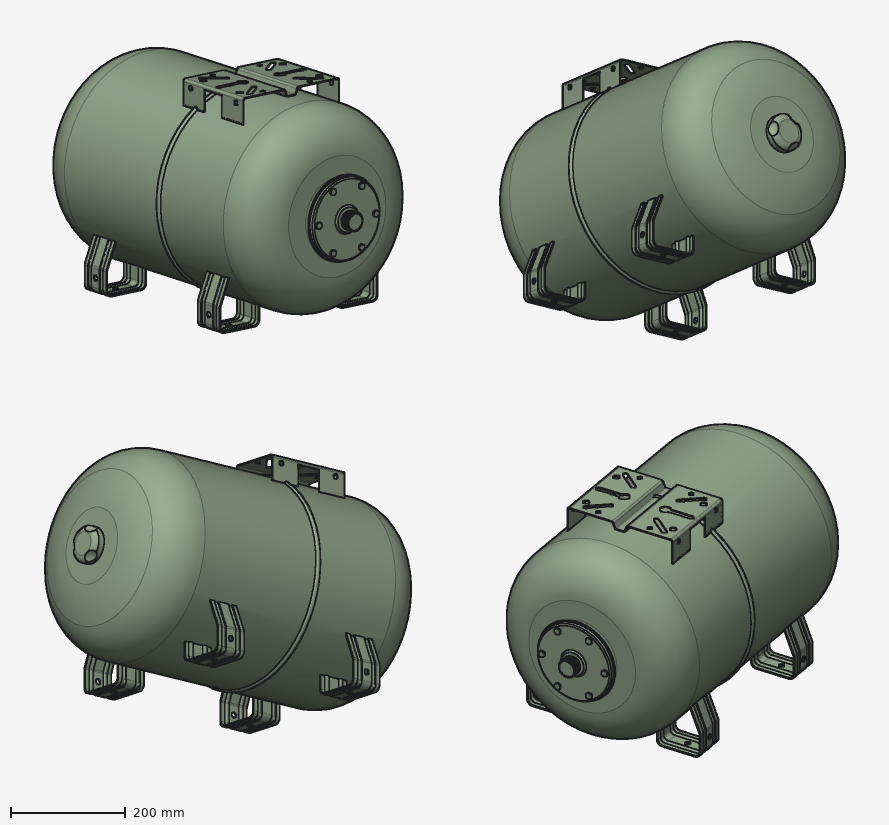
import cadquery as cq
import math


overall_length = 688.0
overall_height = 410.0
top_z = overall_height / 2
base_z = -overall_height / 2

tank_radius = 380.0 / 2
left_seam_x = 117.0
right_seam_x = 556.0
left_apex_x = 20.5
left_flat_radius = 68.5
left_knuckle_end_x = 38.5
left_knuckle_end_radius = 140.0
right_knuckle_radius = 81.0
right_end_x = right_seam_x + right_knuckle_radius

bead_x = 378.0
bead_diameter = 12.0
bead_outer_radius = 386.83 / 2

cap_face_radius = 21.0
cap_radius = 33.5
cap_round_length = 8.5
grip_count = 3
grip_sphere_radius = 24.0
grip_centre_x = -5.6
grip_centre_radius = 45.8

neck_base_radius = 71.0
neck_radius = 107.76 / 2
flange_back_x = 653.0
rim_radius = 78.0
rim_thickness = 2.0
flange_radius = 75.5
flange_face_radius = 145.24 / 2
flange_thickness = 11.5
flange_face_x = flange_back_x + flange_thickness
flange_chamfer_length = 2.5
hub_length = 3.0
hub_base_radius = 26.0
hub_tip_radius = 22.5

bolt_count = 6
bolt_circle_radius = 64.0
bolt_diameter = 6.0
bolt_head_diameter = 12.0
bolt_head_height = 3.0
bolt_tip_length = 4.0

thread_diameter = 34.5
thread_root_diameter = 30.25
thread_pitch = 2.3

bracket_centre_x = 427.5
bracket_length = 166.0
bracket_width = 216.0
bracket_sheet = 2.0
bracket_bend_radius = 5.0
channel_floor_bend_radius = 3.0
bracket_foot_z = 156.0
channel_floor_half_width = 9.5
channel_mouth_half_width = 14.5
flange_gap_length = 49.0
flange_gap_top_z = 197.0
side_hole_diameter = 9.0
side_hole_spacing = 125.0
side_hole_z = 192.0

large_hole_diameter = 12.0
large_hole_x = 50.5
large_hole_y = 89.0
small_hole_diameter = 9.0
small_hole_x = 69.0
small_hole_y = 52.5
keyhole_slot_width = 10.0
keyhole_slot_end_y = 94.5
keyhole_head_diameter = 20.0
keyhole_head_y = 42.0
slant_slot_width = 9.0
slant_slot_x = 52.0
slant_slot_y = 63.5
slant_slot_run_x = 28.0
slant_slot_run_y = 34.0

foot_centres_x = (188.0, 501.0)
foot_width = 60.0
foot_sheet = 2.5
foot_outer_y = 177.5
foot_inner_y = 87.5
foot_kink_z = -156.5
foot_kink_radius = 10.0
foot_bend_radius = 12.0
foot_top_y = 150.5
foot_top_z = -90.0
foot_inner_top_z = -150.0
foot_centre_flat = 22.0
foot_groove_width = 10.0
foot_groove_depth = 2.0
foot_hole_diameter = 10.0
foot_side_hole_z = -176.0
foot_base_hole_y = (foot_outer_y + foot_inner_y) / 2


def revolve_about_axis(profile):
    """Revolve an (x, radius) profile about the X axis."""
    return profile.close().revolve(360, (0, 0, 0), (1, 0, 0))


def x_cylinder(start_x, length, diameter, y=0.0, z=0.0):
    """Cylinder along +X."""
    return cq.Workplane("YZ", origin=(start_x, y, z)).circle(diameter / 2).extrude(length)


def bent_path(points, bend_radii):
    """Path of straight runs through (y, z) points, with one rounding radius per inner point."""
    path = cq.Workplane("YZ").moveTo(*points[0])
    for before, corner, after, radius in zip(points, points[1:], points[2:], bend_radii):
        bend = cq.Vector(*corner)
        to_before = (cq.Vector(*before) - bend).normalized()
        to_after = (cq.Vector(*after) - bend).normalized()
        half_angle = to_before.getAngle(to_after) / 2
        setback = radius / math.tan(half_angle)
        bend_start = bend + to_before * setback
        bend_end = bend + to_after * setback
        path = path.lineTo(bend_start.x, bend_start.y)
        path = path.tangentArcPoint((bend_end.x, bend_end.y), relative=False)
    return path.lineTo(*points[-1])


def make_tank():
    """Shell with a flat right end, its flared neck and a dished left end."""
    shell = (
        cq.Workplane("XY")
        .moveTo(flange_face_x, 0)
        .lineTo(flange_face_x, neck_radius)
        .lineTo(flange_back_x, neck_radius)
        .tangentArcPoint((right_end_x, neck_base_radius), relative=False)
        .lineTo(right_end_x, tank_radius - right_knuckle_radius)
        .tangentArcPoint((right_seam_x, tank_radius), relative=False)
        .lineTo(left_seam_x, tank_radius)
        .tangentArcPoint((left_knuckle_end_x, left_knuckle_end_radius), relative=False)
        .tangentArcPoint((left_apex_x, left_flat_radius), relative=False)
        .lineTo(left_apex_x, 0)
    )
    return revolve_about_axis(shell)


def make_bead():
    """Half-buried ring bead around the shell."""
    ring_radius = bead_outer_radius - bead_diameter / 2
    section = cq.Workplane("XY").center(bead_x, ring_radius).circle(bead_diameter / 2)
    return section.revolve(360, (0, -ring_radius, 0), (1, -ring_radius, 0))


def make_cap():
    """Rounded cap with scooped grips, one of them facing +Y."""
    cap = revolve_about_axis(
        cq.Workplane("XY")
        .moveTo(0, 0)
        .lineTo(0, cap_face_radius)
        .tangentArcPoint((cap_round_length, cap_radius), relative=False)
        .lineTo(left_knuckle_end_x, cap_radius)
        .lineTo(left_knuckle_end_x, 0)
    )
    for index in range(grip_count):
        angle = 2 * math.pi * index / grip_count
        centre = (
            grip_centre_x,
            grip_centre_radius * math.cos(angle),
            grip_centre_radius * math.sin(angle),
        )
        cap = cap.cut(cq.Workplane("XY").sphere(grip_sphere_radius).translate(centre))
    return cap


def make_flange():
    """Flange disc with a thin rear rim, a chamfered front and a tapered hub."""
    return revolve_about_axis(
        cq.Workplane("XY")
        .moveTo(flange_back_x, 0)
        .lineTo(flange_back_x, rim_radius)
        .lineTo(flange_back_x + rim_thickness, rim_radius)
        .lineTo(flange_back_x + rim_thickness, flange_radius)
        .lineTo(flange_face_x - flange_chamfer_length, flange_radius)
        .lineTo(flange_face_x, flange_face_radius)
        .lineTo(flange_face_x, hub_base_radius)
        .lineTo(flange_face_x + hub_length, hub_tip_radius)
        .lineTo(flange_face_x + hub_length, 0)
    )


def make_bolts():
    """Ring of flange bolts: heads in front, thread tips behind."""
    tip_x = flange_back_x - bolt_tip_length
    bolts = cq.Workplane("XY")
    for index in range(bolt_count):
        angle = 2 * math.pi * index / bolt_count
        y = bolt_circle_radius * math.cos(angle)
        z = bolt_circle_radius * math.sin(angle)
        shank = x_cylinder(tip_x, flange_face_x - tip_x, bolt_diameter, y, z)
        head = x_cylinder(flange_face_x, bolt_head_height, bolt_head_diameter, y, z)
        bolts = bolts.add(shank.union(head))
    return bolts.combine()


def make_threaded_stub():
    """Threaded stub as a row of V-shaped rings ending at the right extreme of the part."""
    start_x = flange_face_x + hub_length
    ring_count = int((overall_length - start_x) / thread_pitch)
    crest = thread_diameter / 2
    root = thread_root_diameter / 2
    outline = cq.Workplane("XY").moveTo(start_x, 0).lineTo(start_x, root)
    first_ring_x = overall_length - ring_count * thread_pitch
    outline = outline.lineTo(first_ring_x, root)
    for index in range(ring_count):
        ring_x = first_ring_x + index * thread_pitch
        outline = outline.lineTo(ring_x + thread_pitch / 2, crest)
        outline = outline.lineTo(ring_x + thread_pitch, root)
    return revolve_about_axis(outline.lineTo(overall_length, 0))


def make_bracket():
    """Folded top bracket with a centre channel resting on the tank, swept along its sheet mid-line."""
    half_sheet = bracket_sheet / 2
    side_y = bracket_width / 2 - half_sheet
    deck_z = top_z - half_sheet
    floor_z = tank_radius + half_sheet
    half_path = [
        (side_y, bracket_foot_z),
        (side_y, deck_z),
        (channel_mouth_half_width, deck_z),
        (channel_floor_half_width, floor_z),
    ]
    mirrored_half = [(-y, z) for y, z in reversed(half_path)]
    deck_bend = bracket_bend_radius - half_sheet
    floor_bend = channel_floor_bend_radius - half_sheet
    bend_radii = [deck_bend, deck_bend, floor_bend, floor_bend, deck_bend, deck_bend]
    path = bent_path(half_path + mirrored_half, bend_radii)
    return (
        cq.Workplane("XY", origin=(bracket_centre_x, side_y, bracket_foot_z))
        .rect(bracket_length, bracket_sheet)
        .sweep(path)
    )


def cut_bracket_openings(bracket):
    """Gaps and screw holes in the side flanges, mounting holes and slots in the deck."""
    gap_height = flange_gap_top_z - bracket_foot_z
    side_strip = 2 * bracket_bend_radius
    for side in (-1, 1):
        side_y = side * bracket_width / 2
        gap = cq.Workplane("XY").box(flange_gap_length, side_strip, gap_height)
        bracket = bracket.cut(gap.translate((bracket_centre_x, side_y, bracket_foot_z + gap_height / 2)))
        side_holes = (
            cq.Workplane("XZ", origin=(bracket_centre_x, side_y, side_hole_z))
            .rarray(side_hole_spacing, 1, 2, 1)
            .circle(side_hole_diameter / 2)
            .extrude(side_strip, both=True)
        )
        bracket = bracket.cut(side_holes)

    deck = cq.Workplane("XY", origin=(bracket_centre_x, 0, top_z - 2 * bracket_sheet))
    cut_depth = 3 * bracket_sheet
    slant_length = math.hypot(slant_slot_run_x, slant_slot_run_y) + slant_slot_width
    slant_angle = math.degrees(math.atan2(slant_slot_run_y, slant_slot_run_x))
    keyhole_slot_length = keyhole_slot_end_y - keyhole_head_y
    for y_side in (-1, 1):
        keyhole_slot = (
            deck.center(0, y_side * (keyhole_head_y + keyhole_slot_end_y) / 2)
            .slot2D(keyhole_slot_length + keyhole_slot_width, keyhole_slot_width, 90)
            .extrude(cut_depth)
        )
        keyhole_head = (
            deck.center(0, y_side * keyhole_head_y).circle(keyhole_head_diameter / 2).extrude(cut_depth)
        )
        bracket = bracket.cut(keyhole_slot).cut(keyhole_head)
        for x_side in (-1, 1):
            large_hole = (
                deck.center(x_side * large_hole_x, y_side * large_hole_y)
                .circle(large_hole_diameter / 2)
                .extrude(cut_depth)
            )
            small_hole = (
                deck.center(x_side * small_hole_x, y_side * small_hole_y)
                .circle(small_hole_diameter / 2)
                .extrude(cut_depth)
            )
            slant_slot = (
                deck.center(x_side * slant_slot_x, y_side * slant_slot_y)
                .slot2D(slant_length, slant_slot_width, x_side * y_side * slant_angle)
                .extrude(cut_depth)
            )
            bracket = bracket.cut(large_hole).cut(small_hole).cut(slant_slot)
    return bracket


def make_foot_path():
    """Outer bend line of a foot on the +Y side: slanted leg, outer wall, base, inner wall."""
    points = [
        (foot_top_y, foot_top_z),
        (foot_outer_y, foot_kink_z),
        (foot_outer_y, base_z),
        (foot_inner_y, base_z),
        (foot_inner_y, foot_inner_top_z),
    ]
    return bent_path(points, [foot_kink_radius, foot_bend_radius, foot_bend_radius])


def make_foot():
    """Corrugated strip swept along the bend line, with a hole in the outer wall and in the base."""
    leg_direction = cq.Vector(0, foot_outer_y - foot_top_y, foot_kink_z - foot_top_z)
    start = cq.Plane(origin=(0, foot_top_y, foot_top_z), xDir=(1, 0, 0), normal=leg_direction)
    groove_inner = foot_centre_flat / 2
    groove_outer = groove_inner + foot_groove_width
    groove_middle = groove_inner + foot_groove_width / 2
    edge = foot_width / 2
    ridge_depth = foot_sheet + foot_groove_depth
    strip = (
        cq.Workplane(start)
        .moveTo(-edge, 0)
        .lineTo(-groove_outer, 0)
        .threePointArc((-groove_middle, foot_groove_depth), (-groove_inner, 0))
        .lineTo(groove_inner, 0)
        .threePointArc((groove_middle, foot_groove_depth), (groove_outer, 0))
        .lineTo(edge, 0)
        .lineTo(edge, foot_sheet)
        .lineTo(groove_outer, foot_sheet)
        .threePointArc((groove_middle, ridge_depth), (groove_inner, foot_sheet))
        .lineTo(-groove_inner, foot_sheet)
        .threePointArc((-groove_middle, ridge_depth), (-groove_outer, foot_sheet))
        .lineTo(-edge, foot_sheet)
        .close()
        .sweep(make_foot_path())
    )
    hole_reach = 4 * foot_sheet
    side_hole = (
        cq.Workplane("XZ", origin=(0, foot_outer_y, foot_side_hole_z))
        .circle(foot_hole_diameter / 2)
        .extrude(hole_reach, both=True)
    )
    base_hole = (
        cq.Workplane("XY", origin=(0, foot_base_hole_y, base_z))
        .circle(foot_hole_diameter / 2)
        .extrude(hole_reach, both=True)
    )
    return strip.cut(side_hole).cut(base_hole)


result = make_tank().union(make_bead()).union(make_cap())
result = result.union(make_flange()).union(make_bolts()).union(make_threaded_stub())
result = result.union(cut_bracket_openings(make_bracket()))

positive_y_foot = make_foot()
negative_y_foot = positive_y_foot.mirror("XZ")
for foot_x in foot_centres_x:
    result = result.union(positive_y_foot.translate((foot_x, 0, 0)))
    result = result.union(negative_y_foot.translate((foot_x, 0, 0)))